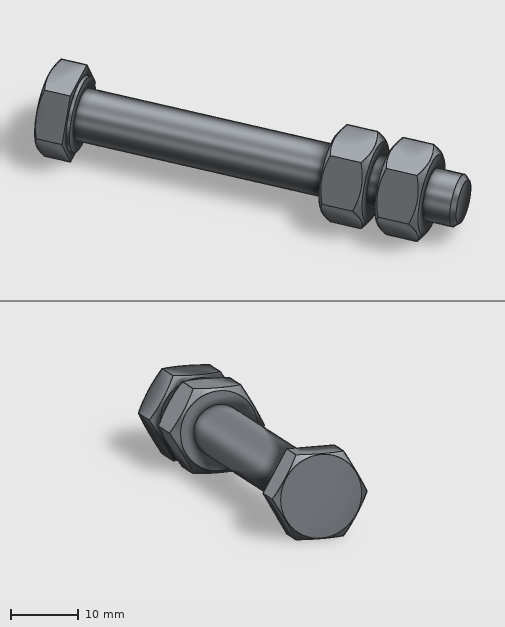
import cadquery as cq
import math

bolt_length = 65.3
shank_diameter = 8.0
tip_diameter = 6.65
tip_chamfer_length = 0.8

across_flats = 13.0
across_corners = across_flats / math.cos(math.pi / 6)
corner_chamfer_angle = math.radians(30)

head_height = 5.3
washer_face_thickness = 0.6
washer_face_diameter = 11.6
head_hex_height = head_height - washer_face_thickness
head_face_diameter = 12.8

nut_thickness = 6.8
nut_face_diameter = 12.2
nut_chamfer_length = 1.0
nut_gap = 2.0
first_nut_start = 44.65
nut_starts = [first_nut_start, first_nut_start + nut_thickness + nut_gap]


def cylinder(start, length, diameter):
    """Round bar along X."""
    return cq.Workplane("YZ", origin=(start, 0, 0)).circle(diameter / 2).extrude(length)


def hex_prism(start, length):
    """Hexagonal bar along X."""
    return cq.Workplane("YZ", origin=(start, 0, 0)).polygon(6, across_corners).extrude(length)


def revolved(profile):
    """Solid of revolution about X from (x, radius) points."""
    return cq.Workplane("XY").polyline(profile).close().revolve(360, (0, 0, 0), (1, 0, 0))


def make_head_hex():
    """Hexagon whose corners are chamfered by a cone on the outer face only."""
    face_radius = head_face_diameter / 2
    corner_radius = across_corners / 2
    chamfer_length = (corner_radius - face_radius) * math.tan(corner_chamfer_angle)
    envelope = revolved([
        (0, 0),
        (0, face_radius),
        (chamfer_length, corner_radius),
        (head_hex_height, corner_radius),
        (head_hex_height, 0),
    ])
    return hex_prism(0, head_hex_height).intersect(envelope)


def make_shank():
    """Shank from the head to the chamfered tip."""
    shank_radius = shank_diameter / 2
    return revolved([
        (head_hex_height, 0),
        (head_hex_height, shank_radius),
        (bolt_length - tip_chamfer_length, shank_radius),
        (bolt_length, tip_diameter / 2),
        (bolt_length, 0),
    ])


def make_bolt():
    """Head, washer face and shank as one solid."""
    washer_face = cylinder(head_hex_height, washer_face_thickness, washer_face_diameter)
    return make_head_hex().union(washer_face).union(make_shank())


def make_nut(start):
    """Hexagonal nut with corners chamfered at both ends, bored to fit the shank."""
    end = start + nut_thickness
    face_radius = nut_face_diameter / 2
    corner_radius = across_corners / 2
    envelope = revolved([
        (start, 0),
        (start, face_radius),
        (start + nut_chamfer_length, corner_radius),
        (end - nut_chamfer_length, corner_radius),
        (end, face_radius),
        (end, 0),
    ])
    bore = cylinder(start, nut_thickness, shank_diameter)
    return hex_prism(start, nut_thickness).intersect(envelope).cut(bore)


bolt = make_bolt()
nuts = [make_nut(start) for start in nut_starts]

result = cq.Compound.makeCompound([bolt.val(), *[nut.val() for nut in nuts]])